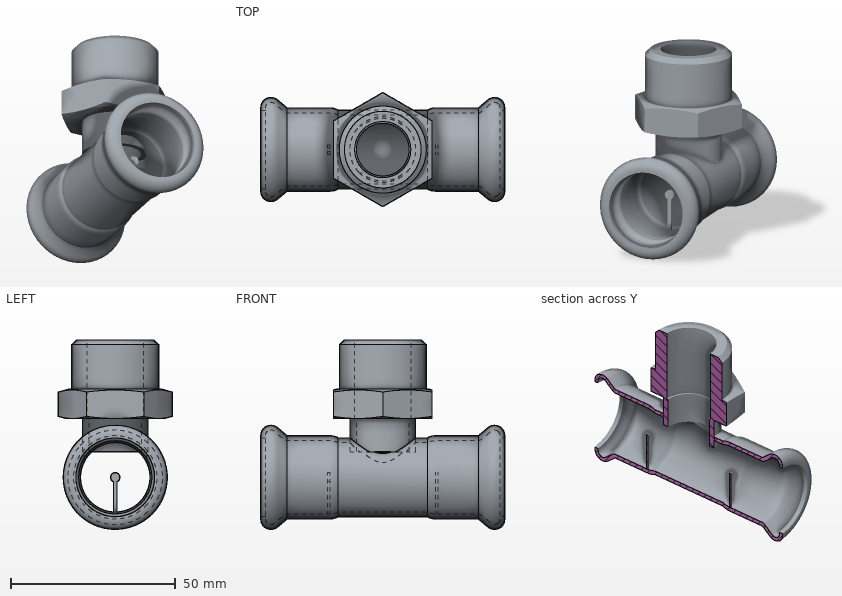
import cadquery as cq
import math


run_length = 74.0
half_run = run_length / 2
run_radius = 24.0 / 2
run_bore_radius = 21.0 / 2
socket_radius = 25.3 / 2
socket_bore_radius = 22.2 / 2
step_inner_x = 13.55
step_outer_x = 16.0
socket_end_x = 29.0

bead_outer_radius = 31.6 / 2
bead_round = 3.1
bead_cavity_round = 1.665
lip_radius = 11.9
socket_fillet = 1.55
bead_center_x = half_run - bead_round
bead_center_radius = bead_outer_radius - bead_round
cavity_front_x = bead_center_x + bead_cavity_round

cone_run = socket_end_x - bead_center_x
cone_rise = socket_radius - bead_center_radius
cone_angle = math.acos(bead_round / math.hypot(cone_run, cone_rise)) + math.atan2(cone_rise, -cone_run)
cone_slope = math.pi / 2 - cone_angle

thread_radius = 26.4 / 2
thread_tip_radius = 23.2 / 2
tip_chamfer_height = 1.5
mouth_bore_radius = 17.0 / 2
neck_bore_radius = 16.0 / 2
neck_radius = 20.0 / 2
branch_hole_radius = 19.0 / 2
neck_bottom_z = 7.7
hex_bottom_z = 17.8
hex_top_z = 26.7
nipple_top_z = 57.5 - bead_outer_radius
hex_corner_diameter = 34.6
hex_top_face_radius = 28.3 / 2
hex_bottom_face_radius = 29.9 / 2
hex_chamfer_angle = math.radians(15)

tab_disc_radius = 2.9 / 2
tab_stem_width = 1.1
tab_thickness = 0.75
tab_x = step_outer_x


def cone_point(round_radius, angle):
    """Point on a circle about the bead centre, on the +X end of the run."""
    return (
        bead_center_x - round_radius * math.cos(angle),
        bead_center_radius + round_radius * math.sin(angle),
    )


def revolve_about_x(profile):
    return profile.close().revolve(360, (0, 0, 0), (1, 0, 0))


def make_outer_end():
    """Solid outside shape of the +X end of the run, from the step to the mouth."""
    profile = (
        cq.Workplane("XY")
        .moveTo(step_inner_x, 0)
        .lineTo(half_run, 0)
        .lineTo(half_run, bead_center_radius)
        .threePointArc(
            cone_point(bead_round, (math.pi + cone_angle) / 2),
            cone_point(bead_round, cone_angle),
        )
        .lineTo(socket_end_x, socket_radius)
        .lineTo(step_outer_x, socket_radius)
        .tangentArcPoint((step_inner_x, run_radius), relative=False)
    )
    return revolve_about_x(profile)


def make_bore_end():
    """Hollow of the +X end: lip opening, bead cavity, inner cone and socket."""
    tangent_x, tangent_radius = cone_point(bead_cavity_round, cone_angle)
    cone_end_x = tangent_x - (tangent_radius - socket_bore_radius) * math.tan(cone_angle)
    fillet_length = socket_fillet * math.tan(cone_slope / 2)
    profile = (
        cq.Workplane("XY")
        .moveTo(step_inner_x, 0)
        .lineTo(half_run, 0)
        .lineTo(half_run, lip_radius)
        .lineTo(cavity_front_x, lip_radius)
        .lineTo(cavity_front_x, bead_center_radius)
        .threePointArc(
            cone_point(bead_cavity_round, (math.pi + cone_angle) / 2),
            cone_point(bead_cavity_round, cone_angle),
        )
        .lineTo(
            cone_end_x + fillet_length * math.cos(cone_slope),
            socket_bore_radius + fillet_length * math.sin(cone_slope),
        )
        .tangentArcPoint((cone_end_x - fillet_length, socket_bore_radius), relative=False)
        .lineTo(step_outer_x, socket_bore_radius)
        .tangentArcPoint((step_inner_x, run_bore_radius), relative=False)
    )
    return revolve_about_x(profile)


def make_run(end, middle_radius):
    """Plain cylinder between the steps, joined to an end piece and its mirror image."""
    middle = cq.Workplane("YZ").circle(middle_radius).extrude(step_inner_x, both=True)
    return middle.union(end).union(end.mirror("YZ"))


def vertical_cylinder(radius, bottom_z, top_z):
    return cq.Workplane("XY", origin=(0, 0, bottom_z)).circle(radius).extrude(top_z - bottom_z)


def make_tab(side):
    """Disc on the run axis with a stem down to the socket wall, on the given side (+1 or -1)."""
    plane = cq.Workplane("YZ", origin=(tab_x, 0, 0))
    disc = plane.circle(tab_disc_radius).extrude(tab_thickness)
    stem = (
        plane.center(0, -socket_bore_radius / 2)
        .rect(tab_stem_width, socket_bore_radius)
        .extrude(tab_thickness)
    )
    socket_space = plane.circle(socket_bore_radius).extrude(tab_thickness)
    tab = disc.union(stem).intersect(socket_space)
    return tab if side > 0 else tab.mirror("YZ")


def make_tee():
    shell = make_run(make_outer_end(), run_radius).cut(make_run(make_bore_end(), run_bore_radius))
    neck_seat = vertical_cylinder(neck_radius, neck_bottom_z, hex_bottom_z)
    branch_hole = vertical_cylinder(branch_hole_radius, 0, hex_bottom_z)
    return shell.cut(neck_seat).cut(branch_hole)


def make_hex_collar():
    """Hexagon with corners on Y, its corners turned down by a shallow cone above and below."""
    height = hex_top_z - hex_bottom_z
    corner_radius = hex_corner_diameter / 2
    top_drop = (corner_radius - hex_top_face_radius) * math.tan(hex_chamfer_angle)
    bottom_drop = (corner_radius - hex_bottom_face_radius) * math.tan(hex_chamfer_angle)
    hexagon = (
        cq.Workplane("XY", origin=(0, 0, hex_bottom_z))
        .transformed(rotate=(0, 0, 90))
        .polygon(6, hex_corner_diameter)
        .extrude(height)
    )
    envelope = (
        cq.Workplane("XZ")
        .moveTo(0, hex_bottom_z)
        .lineTo(hex_bottom_face_radius, hex_bottom_z)
        .lineTo(corner_radius, hex_bottom_z + bottom_drop)
        .lineTo(corner_radius, hex_top_z - top_drop)
        .lineTo(hex_top_face_radius, hex_top_z)
        .lineTo(0, hex_top_z)
        .close()
        .revolve(360, (0, 0, 0), (0, 1, 0))
    )
    return hexagon.intersect(envelope)


def make_nipple():
    neck = vertical_cylinder(neck_radius, neck_bottom_z, hex_bottom_z)
    thread = (
        vertical_cylinder(thread_radius, hex_top_z, nipple_top_z)
        .faces(">Z")
        .chamfer(tip_chamfer_height, thread_radius - thread_tip_radius)
    )
    neck_bore = vertical_cylinder(neck_bore_radius, neck_bottom_z, nipple_top_z)
    mouth_bore = vertical_cylinder(mouth_bore_radius, hex_bottom_z, nipple_top_z)
    return neck.union(make_hex_collar()).union(thread).cut(neck_bore).cut(mouth_bore)


tee = make_tee()
nipple = make_nipple()
tabs = [make_tab(side) for side in (-1, 1)]

bodies = [tee, nipple, *tabs]
result = cq.Compound.makeCompound([body.solids().val() for body in bodies])